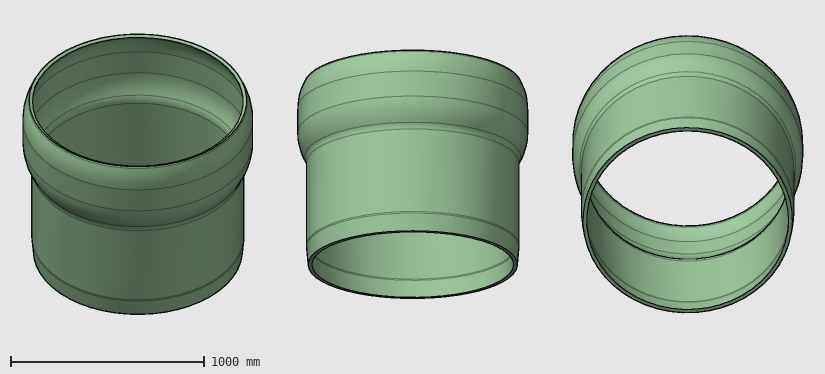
import cadquery as cq
import math

height = 980.0
bell_radius = 595.0
pipe_diameter = 1100.0
pipe_bore_diameter = 1060.0
pipe_radius = pipe_diameter / 2
wall = (pipe_diameter - pipe_bore_diameter) / 2

taper_angle = math.radians(5)
spigot_blend_top = 102.0
spigot_blend_radius = 95.0

neck_start = 553.0
neck_blend_radius = 65.0
bell_curve_radius = 256.0

mouth_start = 855.0
lip_height = 8.0

neck_radii = neck_blend_radius + bell_curve_radius
neck_angle = math.acos(1 - (bell_radius - pipe_radius) / neck_radii)
shoulder_end = neck_start + neck_radii * math.sin(neck_angle)
mouth_angle = math.asin((height - lip_height - mouth_start) / bell_curve_radius)

spigot_center = (pipe_radius - spigot_blend_radius, spigot_blend_top)
neck_center = (pipe_radius + neck_blend_radius, neck_start)
shoulder_center = (bell_radius - bell_curve_radius, shoulder_end)
mouth_center = (bell_radius - bell_curve_radius, mouth_start)


def on_arc(center, radius, angle):
    """Point at an angle measured upward from the outward radial direction."""
    return (center[0] + radius * math.cos(angle), center[1] + radius * math.sin(angle))


def arc_points(center, radius, start, end):
    """Start, middle and end points of an arc."""
    return [on_arc(center, radius, angle) for angle in (start, (start + end) / 2, end)]


def solid_body(inset):
    """Solid of revolution inside the outer surface moved inward by inset."""
    spigot = arc_points(spigot_center, spigot_blend_radius - inset, -taper_angle, 0)
    neck = arc_points(neck_center, neck_blend_radius + inset, math.pi, math.pi - neck_angle)
    shoulder = arc_points(shoulder_center, bell_curve_radius - inset, -neck_angle, 0)
    mouth = arc_points(mouth_center, bell_curve_radius - inset, 0, mouth_angle)
    foot_radius = spigot[0][0] - spigot[0][1] * math.tan(taper_angle)
    lip_end = (mouth[2][0] - lip_height * math.tan(mouth_angle), mouth[2][1] + lip_height)
    rim_axis_height = lip_end[1] - lip_end[0] * math.tan(mouth_angle)

    profile = (
        cq.Workplane("XZ")
        .lineTo(foot_radius, 0)
        .lineTo(*spigot[0])
        .threePointArc(*spigot[1:])
        .lineTo(*neck[0])
        .threePointArc(*neck[1:])
        .threePointArc(*shoulder[1:])
        .lineTo(*mouth[0])
        .threePointArc(*mouth[1:])
        .lineTo(*lip_end)
        .lineTo(0, rim_axis_height)
        .close()
    )
    return profile.revolve(360, (0, 0, 0), (0, 1, 0))


result = solid_body(0).cut(solid_body(wall))